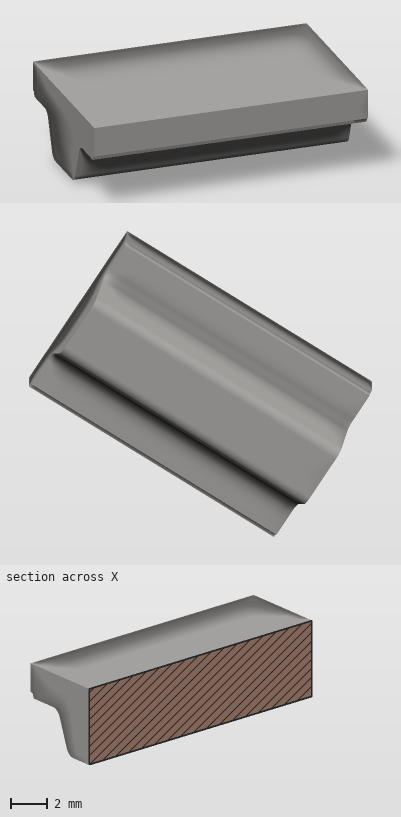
import cadquery as cq
import math

pitch = 10.0
belt_width = 16.0
total_height = 4.5
tooth_height = 2.5
tip_width = 3.5
flank_angle = 20.0
tooth_radius = 0.6
nick_depth = 0.3
nick_roof_inset = 0.17
nick_mouth_inset = 0.26

flank_slope = math.tan(math.radians(flank_angle))
top_z = total_height / 2
tip_z = -total_height / 2
root_z = tip_z + tooth_height
nick_z = root_z + nick_depth
half_pitch = pitch / 2
half_tip = tip_width / 2
half_base = half_tip + tooth_height * flank_slope
nick_roof_x = half_pitch - nick_roof_inset
nick_mouth_x = half_pitch - nick_mouth_inset


def extrude_across_belt(points):
    """Extrude a closed XZ outline over the belt width, centred on Y = 0."""
    return cq.Workplane("XZ").polyline(points).close().extrude(belt_width / 2, both=True)


def round_tooth(body):
    """Round the two root edges and the two tip edges of the tooth."""
    corners = [
        (side * half_width, 0, z)
        for side in (-1, 1)
        for half_width, z in ((half_base, root_z), (half_tip, tip_z))
    ]
    for corner in corners:
        edge = cq.selectors.NearestToPointSelector(corner)
        body = body.edges(edge).fillet(tooth_radius)
    return body


right_half = [
    (half_pitch, top_z),
    (half_pitch, nick_z),
    (nick_roof_x, nick_z),
    (nick_mouth_x, root_z),
    (half_base, root_z),
    (half_tip, tip_z),
]
left_half = [(-x, z) for x, z in reversed(right_half)]

result = round_tooth(extrude_across_belt(right_half + left_half))